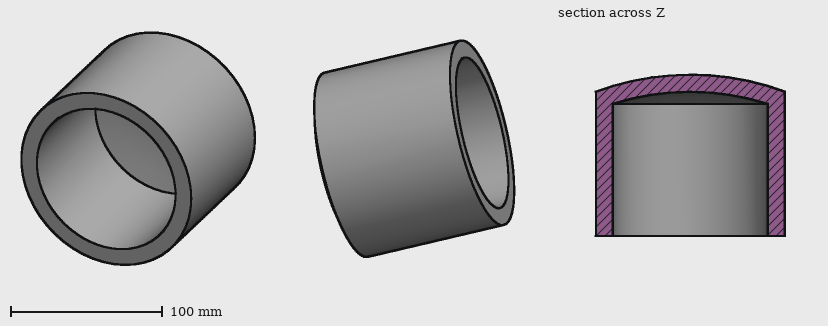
import cadquery as cq

outer_radius = 62.5
wall = 11.5
overall_length = 106.5
dome_rise = 11.2

inner_radius = outer_radius - wall

dome_radius = (outer_radius**2 + dome_rise**2) / (2 * dome_rise)
dome_center_y = overall_length - dome_radius

cavity_dome_radius = dome_radius - wall


def domed_cylinder(radius, sphere_radius):
    """Solid cylinder from Y = 0, closed at +Y by a sphere centred at dome_center_y."""

    def sphere_y(x):
        return dome_center_y + (sphere_radius**2 - x**2) ** 0.5

    profile = (
        cq.Workplane("XY")
        .lineTo(radius, 0)
        .lineTo(radius, sphere_y(radius))
        .threePointArc((radius / 2, sphere_y(radius / 2)), (0, sphere_y(0)))
        .close()
    )
    return profile.revolve(360, (0, 0, 0), (0, 1, 0))


body = domed_cylinder(outer_radius, dome_radius)
cavity = domed_cylinder(inner_radius, cavity_dome_radius)
result = body.cut(cavity)